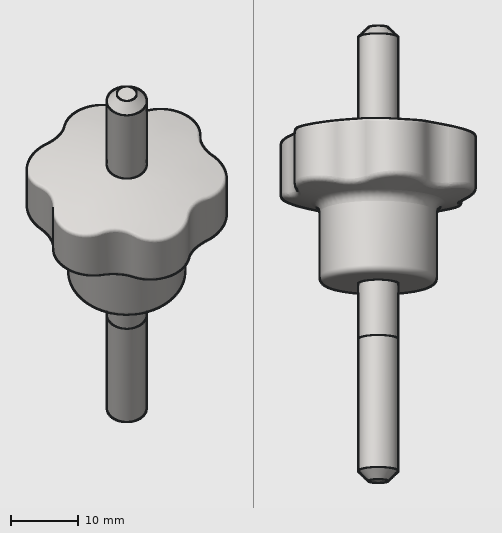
import cadquery as cq
import math

TOTAL_HEIGHT = 69.0
LOWER_PIN_TOP = 21.6
HUB_BOTTOM = 30.0
UNDERSIDE_APEX = 41.25
CROWN_APEX = 53.95

SHAFT_RADIUS = 6.0 / 2
PIN_CHAMFER = 1.5

HUB_RADIUS = 17.5 / 2
HUB_EDGE_ROUND = 1.0
HUB_ROOT_FILLET = 1.5

LOBE_COUNT = 6
GRIP_RADIUS = 15.0
LOBE_RADIUS = 5.45
VALLEY_RADIUS = 10.0 / 2
CROWN_DOME_RADIUS = 60.0
UNDERSIDE_DOME_RADIUS = 50.0
CROWN_EDGE_ROUND = 0.55
UNDERSIDE_EDGE_ROUND = 0.8


def polar(radius, angle):
    return (radius * math.cos(angle), radius * math.sin(angle))


def star_prism():
    """Prism between the two dome apexes, outlined by tangent lobe and valley arcs."""
    half_pitch = math.pi / LOBE_COUNT
    lobe_center = GRIP_RADIUS - LOBE_RADIUS
    half_gap = lobe_center * math.sin(half_pitch)
    center_spacing = LOBE_RADIUS + VALLEY_RADIUS
    valley_center = lobe_center * math.cos(half_pitch) + math.sqrt(center_spacing**2 - half_gap**2)
    valley_floor = valley_center - VALLEY_RADIUS

    meeting_y = half_gap * VALLEY_RADIUS / center_spacing
    meeting_x = valley_center - math.sqrt(VALLEY_RADIUS**2 - meeting_y**2)
    meeting_radius = math.hypot(meeting_x, meeting_y)
    meeting_angle = math.atan2(meeting_y, meeting_x)

    outline = cq.Workplane("XY", origin=(0, 0, UNDERSIDE_APEX))
    outline = outline.moveTo(*polar(meeting_radius, -meeting_angle))
    for index in range(LOBE_COUNT):
        valley_angle = 2 * half_pitch * index
        lobe_angle = valley_angle + half_pitch
        next_valley_angle = lobe_angle + half_pitch
        outline = outline.threePointArc(
            polar(valley_floor, valley_angle),
            polar(meeting_radius, valley_angle + meeting_angle),
        )
        outline = outline.threePointArc(
            polar(GRIP_RADIUS, lobe_angle),
            polar(meeting_radius, next_valley_angle - meeting_angle),
        )
    return outline.close().extrude(CROWN_APEX - UNDERSIDE_APEX)


def build_grip():
    """Star prism trimmed by a spherical crown and a spherical underside, edges rounded."""
    crown_center = (0, 0, CROWN_APEX - CROWN_DOME_RADIUS)
    crown = cq.Workplane("XY", origin=crown_center).sphere(CROWN_DOME_RADIUS)
    grip = star_prism().intersect(crown)
    grip = grip.faces(">Z").edges().fillet(CROWN_EDGE_ROUND)

    underside_center = (0, 0, UNDERSIDE_APEX + UNDERSIDE_DOME_RADIUS)
    underside = cq.Workplane("XY", origin=underside_center).sphere(UNDERSIDE_DOME_RADIUS)
    grip = grip.intersect(underside)
    return grip.faces("<Z").edges().fillet(UNDERSIDE_EDGE_ROUND)


def build_knob():
    """Grip and hub in one piece, bored through for the shaft."""
    hub_top = (UNDERSIDE_APEX + CROWN_APEX) / 2
    hub = (
        cq.Workplane("XY", origin=(0, 0, HUB_BOTTOM))
        .circle(HUB_RADIUS)
        .extrude(hub_top - HUB_BOTTOM)
        .faces("<Z")
        .edges()
        .fillet(HUB_EDGE_ROUND)
    )
    knob = build_grip().union(hub)

    root_zone = cq.selectors.BoxSelector(
        (-HUB_RADIUS, -HUB_RADIUS, UNDERSIDE_APEX),
        (HUB_RADIUS, HUB_RADIUS, hub_top),
    )
    knob = knob.edges("%CIRCLE").edges(root_zone).fillet(HUB_ROOT_FILLET)

    bore = cq.Workplane("XY").circle(SHAFT_RADIUS).extrude(TOTAL_HEIGHT)
    return knob.cut(bore).solids()


def shaft_piece(bottom, top):
    """Plain cylinder on the Z axis between two heights."""
    return cq.Workplane("XY", origin=(0, 0, bottom)).circle(SHAFT_RADIUS).extrude(top - bottom)


def build_upper_pin():
    return shaft_piece(HUB_BOTTOM, TOTAL_HEIGHT).faces(">Z").chamfer(PIN_CHAMFER)


def build_spacer():
    return shaft_piece(LOWER_PIN_TOP, HUB_BOTTOM)


def build_lower_pin():
    return shaft_piece(0, LOWER_PIN_TOP).faces("<Z").chamfer(PIN_CHAMFER)


knob = build_knob()
upper_pin = build_upper_pin()
spacer = build_spacer()
lower_pin = build_lower_pin()

result = cq.Compound.makeCompound([knob.val(), upper_pin.val(), spacer.val(), lower_pin.val()])